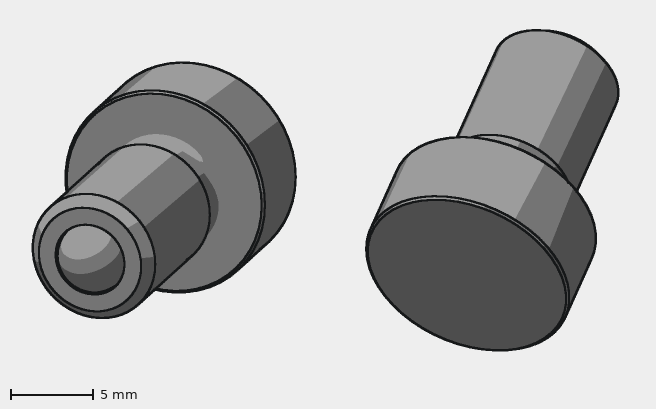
import cadquery as cq
import math

total_length = 19.5
head_diameter = 13.0
head_length = 5.5
head_chamfer = 0.15
shank_radius = 4.0
neck_radius = 3.33
neck_fillet = 0.5
groove_length = 1.99
ball_radius = 2.25
ball_protrusion = 1.5

head_radius = head_diameter / 2

shank_chamfer = shank_radius - neck_radius
shank_length = total_length - head_length - ball_protrusion
ball_centre_y = -shank_length - ball_protrusion + ball_radius


def make_ball():
    """Ball that projects from the tip of the screw."""
    return cq.Workplane("XY").sphere(ball_radius).translate((0, ball_centre_y, 0))


def make_ball_seat():
    """Round-bottomed bore that holds the ball, open at the screw tip."""
    bore_depth = shank_length + ball_centre_y
    bore = (
        cq.Workplane("XZ", origin=(0, ball_centre_y, 0))
        .circle(ball_radius)
        .extrude(bore_depth)
    )
    return bore.union(make_ball())


def make_screw():
    """Revolved head, filleted neck and chamfered shank, with the ball seat cut out."""
    fillet_mid = neck_fillet * (1 - math.sqrt(0.5))
    profile = (
        cq.Workplane("XY")
        .moveTo(0, head_length)
        .lineTo(head_radius - head_chamfer, head_length)
        .lineTo(head_radius, head_length - head_chamfer)
        .lineTo(head_radius, head_chamfer)
        .lineTo(head_radius - head_chamfer, 0)
        .lineTo(neck_radius + neck_fillet, 0)
        .threePointArc(
            (neck_radius + fillet_mid, -fillet_mid),
            (neck_radius, -neck_fillet),
        )
        .lineTo(neck_radius, -groove_length)
        .lineTo(shank_radius, -groove_length - shank_chamfer)
        .lineTo(shank_radius, -shank_length + shank_chamfer)
        .lineTo(neck_radius, -shank_length)
        .lineTo(0, -shank_length)
        .close()
    )
    blank = profile.revolve(360, (0, 0, 0), (0, 1, 0))
    return blank.cut(make_ball_seat())


screw = make_screw()
ball = make_ball()
result = cq.Compound.makeCompound([screw.val(), ball.val()])